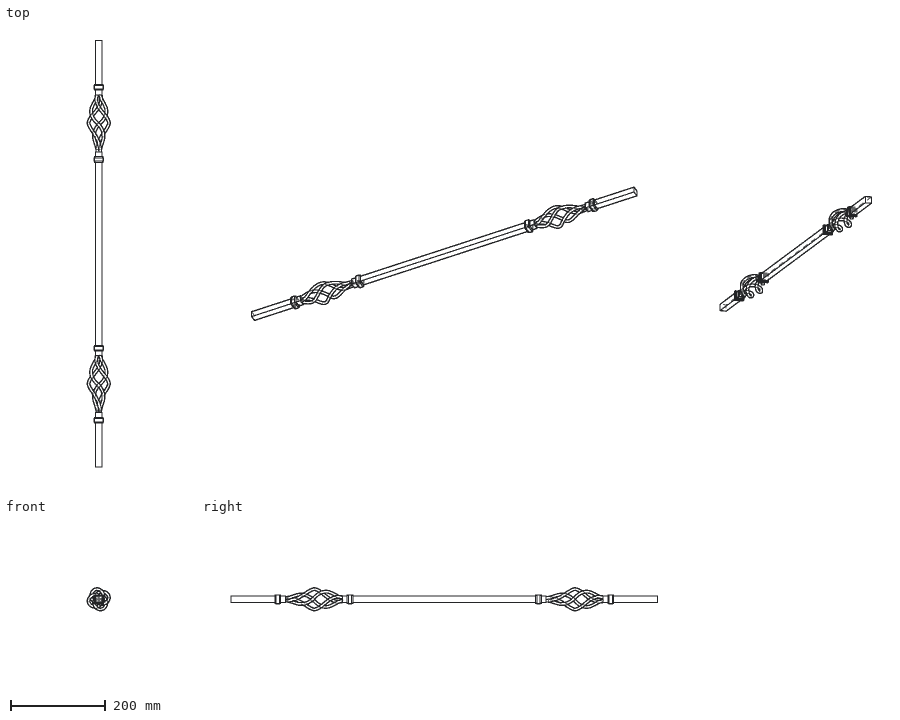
import cadquery as cq
import math

bar_length = 900
bar_width = 14

basket_offset = 275
basket_half_length = 60
rod_count = 4
rod_radius = 3
rod_reach = basket_half_length + 1.5
rod_twist = math.radians(2.4)
bend_angle = math.radians(7)
bend_radius = 21.72
bundle_radius = 4.1

rear_radii = [bend_radius, 20.3, 15.7, 9.7, bundle_radius]
front_radii = [bend_radius, 15.9, 10.7, 5.6, bundle_radius]

collar_width = 19
collar_length = 12
collar_offset = 76
slope_length = 2.5
slope_depth = 1


def rod_point(y, radius):
    angle = bend_angle + rod_twist * y
    return cq.Vector(radius * math.cos(angle), y, radius * math.sin(angle))


def half_rod(radii, direction):
    """One rod from the bend in mid-basket to the bar; direction is +1 or -1 along Y."""
    step = direction * rod_reach / (len(radii) - 1)
    points = [rod_point(i * step, radius) for i, radius in enumerate(radii)]
    centre_line = cq.Edge.makeSpline(points)
    section = cq.Plane(origin=points[0], normal=centre_line.tangentAt(0))
    path = cq.Wire.assembleEdges([centre_line])
    return cq.Workplane(section).circle(rod_radius).sweep(path)


def make_basket():
    """Four equal rods about the Y axis, each with a ball closing its sharp bend."""
    ball = cq.Workplane().sphere(rod_radius).translate(rod_point(0, bend_radius))
    rod = ball.union(half_rod(rear_radii, 1)).union(half_rod(front_radii, -1))
    basket = rod
    for i in range(1, rod_count):
        basket = basket.union(rod.rotate((0, 0, 0), (0, 1, 0), i * 360 / rod_count))
    return basket


def make_bar(start, end):
    bar = cq.Workplane().box(bar_width, end - start, bar_width)
    return bar.translate((0, (start + end) / 2, 0))


def make_collar(y):
    """A square block, tapered at both ends on all four sides."""
    flat_half = collar_length / 2 - slope_length
    end_half = collar_length / 2
    wide_half = collar_width / 2
    narrow_half = wide_half - slope_depth
    outline = cq.Workplane("XY").polyline([
        (wide_half, -flat_half),
        (wide_half, flat_half),
        (narrow_half, end_half),
        (-narrow_half, end_half),
        (-wide_half, flat_half),
        (-wide_half, -flat_half),
        (-narrow_half, -end_half),
        (narrow_half, -end_half),
    ])
    profile = outline.close().extrude(wide_half, both=True)
    collar = profile.intersect(profile.rotate((0, 0, 0), (0, 1, 0), 90))
    return collar.translate((0, y, 0))


bar_half_length = bar_length / 2
gap_start = basket_offset - basket_half_length
gap_end = basket_offset + basket_half_length

result = make_bar(-gap_start, gap_start)
result = result.union(make_bar(gap_end, bar_half_length))
result = result.union(make_bar(-bar_half_length, -gap_end))

basket = make_basket()
for basket_y in (-basket_offset, basket_offset):
    result = result.union(basket.translate((0, basket_y, 0)))
    for collar_y in (basket_y - collar_offset, basket_y + collar_offset):
        result = result.union(make_collar(collar_y))